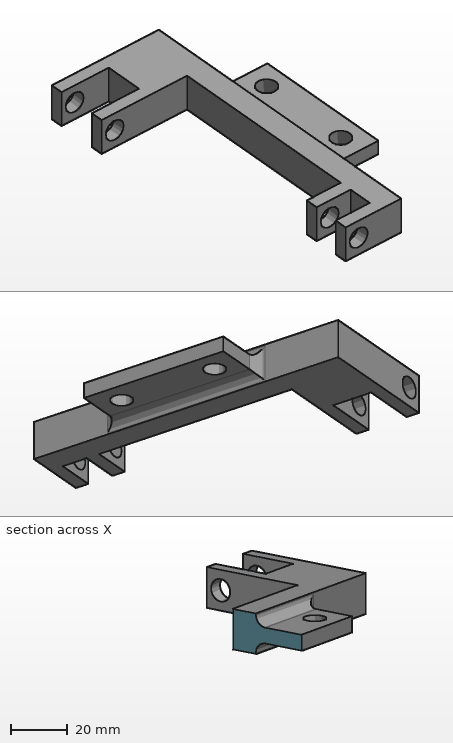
import cadquery as cq

length = 131.0
depth = 70.0
height = 15.0

bar_thickness = 10.15
tab_projection = 20.0
tab_width = 60.0
tab_thickness = 6.0
tab_fillet = 4.0
tab_hole_spacing = 40.0
tab_hole_edge_distance = 9.0

fork_wall = 5.35
left_gap = 16.3
left_slot_depth = 22.0
right_gap = 10.3
right_arm_length = 15.85
pivot_edge_distance = 6.125

hole_diameter = 8.25

bar_back = depth - tab_projection
bar_front = bar_back - bar_thickness
left_fork_width = left_gap + 2 * fork_wall
right_fork_width = right_gap + 2 * fork_wall
right_fork_start = length - right_fork_width
right_fork_front = bar_front - right_arm_length


def block(x_start, x_end, y_start, y_end, z_size):
    """Box between the given X and Y limits, centred on Z = 0."""
    return (
        cq.Workplane("XY")
        .box(x_end - x_start, y_end - y_start, z_size, centered=(False, False, True))
        .translate((x_start, y_start, 0))
    )


def make_frame():
    """Crossbar with a solid arm block at each end."""
    bar = block(0, length, bar_front, bar_back, height)
    left_arm = block(0, left_fork_width, 0, bar_back, height)
    right_arm = block(right_fork_start, length, right_fork_front, bar_back, height)
    return bar.union(left_arm).union(right_arm)


def add_tab(body):
    """Thin tab on the back face, with a fillet all round its root."""
    tab_start = (length - tab_width) / 2
    tab = block(tab_start, tab_start + tab_width, bar_front, depth, tab_thickness)
    margin = 1.0
    root_edges = cq.selectors.BoxSelector(
        (tab_start - margin, bar_back - margin, -tab_thickness),
        (tab_start + tab_width + margin, bar_back + margin, tab_thickness),
    )
    return body.union(tab).edges(root_edges).fillet(tab_fillet)


def cut_fork(body, fork_start, gap, slot_front, slot_back):
    """Open the slot of a fork and drill its pivot hole through both prongs."""
    slot_start = fork_start + fork_wall
    slot = block(slot_start, slot_start + gap, slot_front, slot_back, height)
    pivot = (
        cq.Workplane("YZ", origin=(fork_start, 0, 0))
        .center(slot_front + pivot_edge_distance, 0)
        .circle(hole_diameter / 2)
        .extrude(gap + 2 * fork_wall)
    )
    return body.cut(slot).cut(pivot)


def drill_tab(body):
    """Two vertical mounting holes through the tab."""
    holes = (
        cq.Workplane("XY", origin=(0, 0, -tab_thickness / 2))
        .center(length / 2, depth - tab_hole_edge_distance)
        .rarray(tab_hole_spacing, 1, 2, 1)
        .circle(hole_diameter / 2)
        .extrude(tab_thickness)
    )
    return body.cut(holes)


result = add_tab(make_frame())
result = cut_fork(result, 0, left_gap, 0, left_slot_depth)
result = cut_fork(result, right_fork_start, right_gap, right_fork_front, bar_front)
result = drill_tab(result)